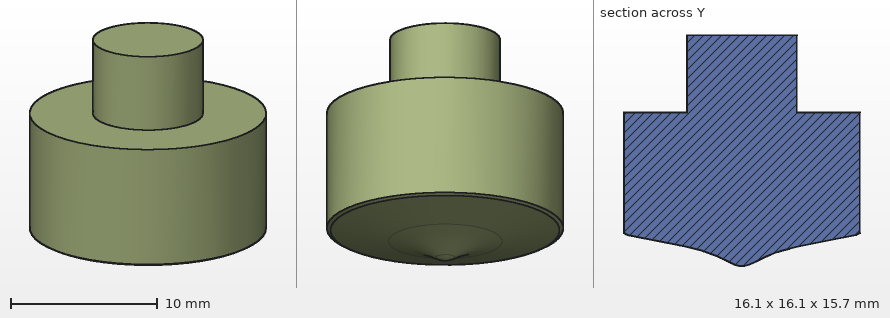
import cadquery as cq
import math

total_height = 15.71
body_radius = 8.05
stud_radius = 7.5 / 2
stud_length = 5.25
shoulder_z = total_height - stud_length

body_bottom_z = 2.25
bevel_width = 0.25
bevel_height = 0.15
bevel_radius = body_radius - bevel_width
bevel_bottom_z = body_bottom_z - bevel_height

cone_end_radius = 3.86
cone_end_z = 1.34

tip_edge_radius = 0.68
tip_height = 0.18
tip_sphere_radius = (tip_edge_radius**2 + tip_height**2) / (2 * tip_height)
tip_mid_radius = tip_edge_radius / 2
tip_mid_z = tip_sphere_radius - math.sqrt(tip_sphere_radius**2 - tip_mid_radius**2)

half_profile = (
    cq.Workplane("XZ")
    .moveTo(0, total_height)
    .lineTo(stud_radius, total_height)
    .lineTo(stud_radius, shoulder_z)
    .lineTo(body_radius, shoulder_z)
    .lineTo(body_radius, body_bottom_z)
    .lineTo(bevel_radius, bevel_bottom_z)
    .lineTo(cone_end_radius, cone_end_z)
    .tangentArcPoint((tip_edge_radius, tip_height), relative=False)
    .threePointArc((tip_mid_radius, tip_mid_z), (0, 0))
    .close()
)

result = half_profile.revolve(360, (0, 0, 0), (0, 1, 0))